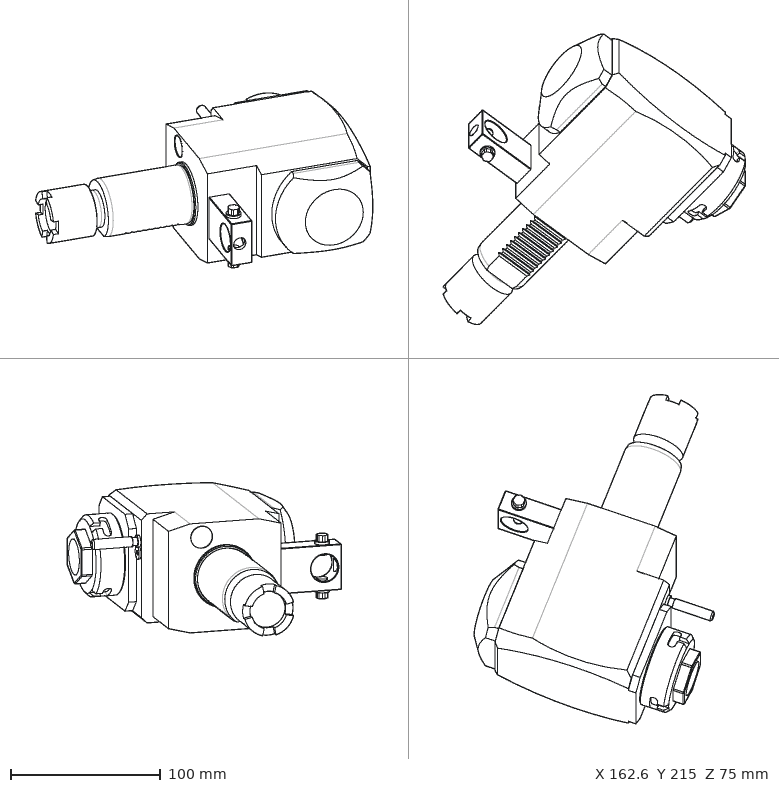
import cadquery as cq
import math


OVERALL_LENGTH = 215.0

HEIGHT = 75.0
HALF_HEIGHT = HEIGHT / 2
TAPER_ANGLE = math.radians(15)
TAPER_START = 24.0
BASE_LEFT = -39.1
BASE_RIGHT = 39.5
BASE_DEPTH = 35.0
HEAD_LEFT = -47.3
HEAD_RIGHT = 48.8
HEAD_BACK = 113.7
HEAD_CHAMFER = 4.0
BACK_CORNER_CHAMFER = 3.0

BEVEL_PEAK_X = -9.5
BEVEL_MIN_LEG = 4.0
BEVEL_RADIUS = 189.2

SPINDLE_Y = 80.0
PLATE_LEFT = -52.7
PLATE_FRONT = 46.2
PLATE_HALF_HEIGHT = 33.3
PLATE_CHAMFER = 8.2
NUT_RADIUS = 27.5
NUT_LEFT = -72.7
NUT_FRONT_CHAMFER = 2.5
NUT_BACK_CHAMFER = 0.9
NUT_SLOT_WIDTH = 5.4
NUT_SLOT_X = -62.8
NUT_SLOT_HALF_SPAN = 19.0
NUT_NOTCH_WIDTH = 5.5
NUT_CUT_DEPTH = 2.8
NUT_CUT_ANGLES = (0, 120, 240)
HEX_FLATS = 32.7
HEX_LEFT = -80.5
HEX_CORNER_RADIUS = 18.5
HEX_CHAMFER = 0.6
HEX_BORE_RADIUS = 12.0

PIN_Y = 40.2
PIN_Z = 17.8
PIN_RADIUS = 3.5
PIN_NECK_RADIUS = 2.8
PIN_FOOT_RADIUS = 4.0
PIN_BODY_END = -52.5
PIN_FOOT_THICKNESS = 1.7
PIN_CHAMFER = 1.0
PIN_BORE_RADIUS = 1.7
PIN_BORE_DEPTH = 1.0
PLUG_Z = 10.0
PLUG_RADIUS = 4.5
PLUG_THICKNESS = 1.3
PLUG_DIMPLE_RADIUS = 1.5
PLUG_DIMPLE_DEPTH = 0.6

CAP_RADIUS = 37.6
CAP_END_RADIUS = 20.6
CAP_CONE_START = 56.0
CAP_RIGHT = 67.5
CAP_FLAT_Y = 109.9
CAP_HALF_HEIGHT = 29.5
CAP_SLOPE_START = 51.8

ARM_RIGHT = 82.1
ARM_FRONT = 1.0
ARM_BACK = 16.0
ARM_HALF_HEIGHT = 15.7
ARM_BORE_X = 70.3
ARM_BORE_RADIUS = 9.5
ARM_EDGE_CHAMFER = 0.5
SCREW_Y = 7.0
SCREW_TOP = 21.7
SCREW_FLATS = 7.3
SCREW_CORNER_RADIUS = 3.9
SCREW_FLANGE_RADIUS = 5.0
SCREW_FLANGE_HEIGHT = 1.7
SCREW_TIP_RADIUS = 3.7
SCREW_TIP_Z = 8.2
ARM_END_HOLE_RADIUS = 4.3

SHANK_RADIUS = 20.0
SHANK_START = -3.7
SHANK_END = -63.0
SHANK_END_CHAMFER_LENGTH = 3.2
SHANK_END_CHAMFER_DEPTH = 0.6
COLLAR_RADIUS = 21.5
COLLAR_END = -2.2
COLLAR_CHAMFER = 0.6
RELIEF_RADIUS = 19.5
NECK_RADIUS = 12.7
COUPLING_RADIUS = 17.6
COUPLING_START = -70.3
COUPLING_END = HEAD_BACK - OVERALL_LENGTH
COUPLING_BORE_RADIUS = 12.5
COUPLING_BORE_DEPTH = 5.2
COUPLING_SLOT_DEPTH = 3.5
COUPLING_SLOT_INNER_WIDTH = 7.5
COUPLING_SLOT_OUTER_WIDTH = 9.7

RACK_Z = -16.0
RACK_START = -8.8
TOOTH_COUNT = 10
TOOTH_FIRST_Y = -11.2
TOOTH_PITCH = 4.0
TOOTH_DEPTH = 1.3

RECESS_X = -16.0
RECESS_Z = 27.7
RECESS_RADIUS = 7.5
RECESS_DEPTH = 0.6


def box(x0, x1, y0, y1, z0, z1):
    return cq.Workplane("XY").box(x1 - x0, y1 - y0, z1 - z0, centered=False).translate((x0, y0, z0))


def cylinder(start, direction, radius, length):
    return cq.Workplane(cq.Solid.makeCylinder(radius, length, cq.Vector(*start), cq.Vector(*direction)))


def extrude_y(points, y0, y1):
    """Extrude an outline of (x, z) points from y0 to y1."""
    return cq.Workplane("XZ", origin=(0, y0, 0)).polyline(points).close().extrude(y0 - y1)


def mirrored_in_z(upper_points):
    """Close an outline given by its upper half, from left to right."""
    return upper_points + [(x, -z) for x, z in reversed(upper_points)]


def tapered_height(x):
    return HALF_HEIGHT - (abs(x) - TAPER_START) * math.tan(TAPER_ANGLE)


def make_base():
    upper = [
        (BASE_LEFT, tapered_height(BASE_LEFT)),
        (-TAPER_START, HALF_HEIGHT),
        (TAPER_START, HALF_HEIGHT),
        (BASE_RIGHT, tapered_height(BASE_RIGHT)),
    ]
    base = extrude_y(mirrored_in_z(upper), 0, BASE_DEPTH)
    recess = cylinder((RECESS_X, 0, RECESS_Z), (0, 1, 0), RECESS_RADIUS, RECESS_DEPTH)
    return base.cut(recess)


def make_bevel_cutter():
    """Waste above the arched 45 degree bevel at the top rear edge of the head."""
    reach = 64.5
    waste = 32.2
    sag = BEVEL_RADIUS - math.sqrt(BEVEL_RADIUS**2 - reach**2)
    plane = cq.Plane(
        origin=(BEVEL_PEAK_X, HEAD_BACK - BEVEL_MIN_LEG, HALF_HEIGHT),
        xDir=(1, 0, 0),
        normal=(0, -1, 1),
    )
    return (
        cq.Workplane(plane)
        .moveTo(-reach, -sag)
        .threePointArc((0, 0), (reach, -sag))
        .lineTo(reach, waste)
        .lineTo(-reach, waste)
        .close()
        .extrude(HEAD_BACK, both=True)
    )


def make_head():
    upper = [
        (HEAD_LEFT, HALF_HEIGHT - HEAD_CHAMFER),
        (HEAD_LEFT + HEAD_CHAMFER, HALF_HEIGHT),
        (TAPER_START, HALF_HEIGHT),
        (HEAD_RIGHT, tapered_height(HEAD_RIGHT)),
    ]
    head = extrude_y(mirrored_in_z(upper), BASE_DEPTH, HEAD_BACK)
    head = head.edges("|Z").edges(">X and >Y").chamfer(BACK_CORNER_CHAMFER)
    bevel = make_bevel_cutter()
    return head.cut(bevel).cut(bevel.mirror("XY"))


def make_plate():
    plate = box(PLATE_LEFT, HEAD_LEFT, PLATE_FRONT, HEAD_BACK, -PLATE_HALF_HEIGHT, PLATE_HALF_HEIGHT)
    return plate.edges("|X").chamfer(PLATE_CHAMFER)


def make_nut_cutter():
    """Cross slot and end notch on the +Y side of the nut."""
    clearance = 2.2
    floor_radius = NUT_RADIUS - NUT_CUT_DEPTH
    outer_radius = NUT_RADIUS + clearance
    half_notch = NUT_NOTCH_WIDTH / 2
    half_angle = math.radians(NUT_SLOT_HALF_SPAN)
    half_length = NUT_RADIUS * math.sin(half_angle)
    slot = (
        cq.Workplane("XZ", origin=(NUT_SLOT_X, SPINDLE_Y, 0))
        .slot2D(2 * half_length, NUT_SLOT_WIDTH, 90)
        .extrude(-outer_radius)
    )
    core = cylinder((NUT_LEFT, SPINDLE_Y, 0), (1, 0, 0), floor_radius, PLATE_LEFT - NUT_LEFT)
    notch = box(NUT_LEFT, NUT_SLOT_X, SPINDLE_Y, SPINDLE_Y + outer_radius, -half_notch, half_notch)
    return slot.union(notch).cut(core)


def make_nut():
    nut = cylinder((NUT_LEFT, SPINDLE_Y, 0), (1, 0, 0), NUT_RADIUS, PLATE_LEFT - NUT_LEFT)
    nut = nut.faces("<X").chamfer(NUT_FRONT_CHAMFER)
    nut = nut.faces(">X").chamfer(NUT_BACK_CHAMFER)
    cutter = make_nut_cutter()
    for angle in NUT_CUT_ANGLES:
        nut = nut.cut(cutter.rotate((0, SPINDLE_Y, 0), (1, SPINDLE_Y, 0), angle))
    hexagon = (
        cq.Workplane("YZ", origin=(HEX_LEFT, SPINDLE_Y, 0))
        .polygon(6, HEX_FLATS, circumscribed=True)
        .extrude(NUT_LEFT - HEX_LEFT)
    )
    turned = cylinder((HEX_LEFT, SPINDLE_Y, 0), (1, 0, 0), HEX_CORNER_RADIUS, NUT_LEFT - HEX_LEFT)
    hexagon = hexagon.intersect(turned).faces("<X").chamfer(HEX_CHAMFER)
    bore = cylinder((HEX_LEFT, SPINDLE_Y, 0), (1, 0, 0), HEX_BORE_RADIUS, NUT_LEFT - HEX_LEFT)
    return nut.union(hexagon).cut(bore)


def make_pin():
    start = (HEX_LEFT, PIN_Y, PIN_Z)
    body = cylinder(start, (1, 0, 0), PIN_RADIUS, PIN_BODY_END - HEX_LEFT).faces("<X").chamfer(PIN_CHAMFER)
    neck = cylinder((PIN_BODY_END, PIN_Y, PIN_Z), (1, 0, 0), PIN_NECK_RADIUS, HEAD_LEFT - PIN_BODY_END)
    foot = cylinder((HEAD_LEFT, PIN_Y, PIN_Z), (-1, 0, 0), PIN_FOOT_RADIUS, PIN_FOOT_THICKNESS)
    bore = cylinder(start, (1, 0, 0), PIN_BORE_RADIUS, PIN_BORE_DEPTH)
    return body.union(neck).union(foot).cut(bore)


def make_plug():
    face_x = HEAD_LEFT - PLUG_THICKNESS
    disk = cylinder((face_x, PIN_Y, PLUG_Z), (1, 0, 0), PLUG_RADIUS, PLUG_THICKNESS)
    dimple = cylinder((face_x, PIN_Y, PLUG_Z), (1, 0, 0), PLUG_DIMPLE_RADIUS, PLUG_DIMPLE_DEPTH)
    return disk.cut(dimple)


def make_cap():
    profile = [
        (HEAD_RIGHT, 0),
        (HEAD_RIGHT, CAP_RADIUS),
        (CAP_CONE_START, CAP_RADIUS),
        (CAP_RIGHT, CAP_END_RADIUS),
        (CAP_RIGHT, 0),
    ]
    cap = (
        cq.Workplane("XY", origin=(0, SPINDLE_Y, 0))
        .polyline(profile)
        .close()
        .revolve(360, (0, 0, 0), (1, 0, 0))
    )
    end_height = CAP_HALF_HEIGHT - (CAP_RIGHT - CAP_SLOPE_START) * math.tan(TAPER_ANGLE)
    upper = [
        (HEAD_RIGHT, CAP_HALF_HEIGHT),
        (CAP_SLOPE_START, CAP_HALF_HEIGHT),
        (CAP_RIGHT, end_height),
    ]
    return cap.intersect(extrude_y(mirrored_in_z(upper), SPINDLE_Y - CAP_RADIUS, CAP_FLAT_Y))


def make_clamp_screw():
    """Upper clamp screw: flanged hexagon head on the arm and a flat tip in the bore."""
    head_height = SCREW_TOP - ARM_HALF_HEIGHT
    seat = (ARM_BORE_X, SCREW_Y, ARM_HALF_HEIGHT)
    flange = cylinder(seat, (0, 0, 1), SCREW_FLANGE_RADIUS, SCREW_FLANGE_HEIGHT)
    head = (
        cq.Workplane("XY", origin=seat)
        .polygon(6, SCREW_FLATS, circumscribed=True)
        .extrude(head_height)
    )
    head = head.intersect(cylinder(seat, (0, 0, 1), SCREW_CORNER_RADIUS, head_height))
    tip_length = ARM_HALF_HEIGHT - SCREW_TIP_Z
    tip = cylinder((ARM_BORE_X, SCREW_Y, SCREW_TIP_Z), (0, 0, 1), SCREW_TIP_RADIUS, tip_length)
    return flange.union(head).union(tip)


def make_arm():
    arm = box(BASE_RIGHT, ARM_RIGHT, ARM_FRONT, ARM_BACK, -ARM_HALF_HEIGHT, ARM_HALF_HEIGHT)
    arm = arm.edges("not <X").chamfer(ARM_EDGE_CHAMFER)
    arm = arm.cut(cylinder((ARM_BORE_X, ARM_FRONT, 0), (0, 1, 0), ARM_BORE_RADIUS, ARM_BACK - ARM_FRONT))
    arm = arm.faces("<Y or >Y").edges("%CIRCLE").chamfer(ARM_EDGE_CHAMFER)
    end_hole_start = (ARM_BORE_X, SCREW_Y, 0)
    arm = arm.cut(cylinder(end_hole_start, (1, 0, 0), ARM_END_HOLE_RADIUS, ARM_RIGHT - ARM_BORE_X))
    screw = make_clamp_screw()
    return arm.union(screw).union(screw.mirror("XY"))


def make_rack_cutter():
    """Flat with a 45 degree lead-in and V-shaped tooth gaps, cut from below."""
    below = -COLLAR_RADIUS
    half_width = SHANK_RADIUS
    lead_in = RACK_Z - below
    flat = [
        (RACK_START, RACK_Z),
        (SHANK_END, RACK_Z),
        (SHANK_END, below),
        (RACK_START + lead_in, below),
    ]
    cutter = cq.Workplane("YZ").polyline(flat).close().extrude(half_width, both=True)
    for i in range(TOOTH_COUNT):
        y = TOOTH_FIRST_Y - i * TOOTH_PITCH
        gap = [(y - TOOTH_DEPTH, RACK_Z), (y, RACK_Z + TOOTH_DEPTH), (y + TOOTH_DEPTH, RACK_Z)]
        cutter = cutter.union(cq.Workplane("YZ").polyline(gap).close().extrude(half_width, both=True))
    return cutter


def make_shank():
    arc_radius = COUPLING_RADIUS - NECK_RADIUS
    arc_start = COUPLING_START + arc_radius
    arc_leg = arc_radius * math.sqrt(0.5)
    shank = (
        cq.Workplane("XY")
        .lineTo(COLLAR_RADIUS, 0)
        .lineTo(COLLAR_RADIUS, COLLAR_END + COLLAR_CHAMFER)
        .lineTo(COLLAR_RADIUS - COLLAR_CHAMFER, COLLAR_END)
        .lineTo(RELIEF_RADIUS, COLLAR_END)
        .lineTo(SHANK_RADIUS, SHANK_START)
        .lineTo(SHANK_RADIUS, SHANK_END + SHANK_END_CHAMFER_LENGTH)
        .lineTo(SHANK_RADIUS - SHANK_END_CHAMFER_DEPTH, SHANK_END)
        .lineTo(NECK_RADIUS, SHANK_END)
        .lineTo(NECK_RADIUS, arc_start)
        .threePointArc((COUPLING_RADIUS - arc_leg, arc_start - arc_leg), (COUPLING_RADIUS, COUPLING_START))
        .lineTo(COUPLING_RADIUS, COUPLING_END)
        .lineTo(0, COUPLING_END)
        .close()
        .revolve(360, (0, 0, 0), (0, 1, 0))
    )
    return shank.cut(make_rack_cutter())


def make_coupling_cutter():
    """End bore of the coupling with four driving slots that widen outwards."""
    slot_floor = COUPLING_END + COUPLING_SLOT_DEPTH
    inner = COUPLING_SLOT_INNER_WIDTH / 2
    outer = COUPLING_SLOT_OUTER_WIDTH / 2
    slot = extrude_y(
        [
            (0, -inner),
            (COUPLING_BORE_RADIUS, -inner),
            (COUPLING_RADIUS, -outer),
            (COUPLING_RADIUS, outer),
            (COUPLING_BORE_RADIUS, inner),
            (0, inner),
        ],
        COUPLING_END,
        slot_floor,
    )
    cutter = cylinder((0, COUPLING_END, 0), (0, 1, 0), COUPLING_BORE_RADIUS, COUPLING_BORE_DEPTH)
    for angle in range(0, 360, 90):
        cutter = cutter.union(slot.rotate((0, 0, 0), (0, 1, 0), angle))
    return cutter


housing = make_base().union(make_head()).union(make_plate()).union(make_cap())
spindle_side = make_nut().union(make_pin()).union(make_plug())
shank = make_shank().cut(make_coupling_cutter())

result = housing.union(spindle_side).union(make_arm()).union(shank)